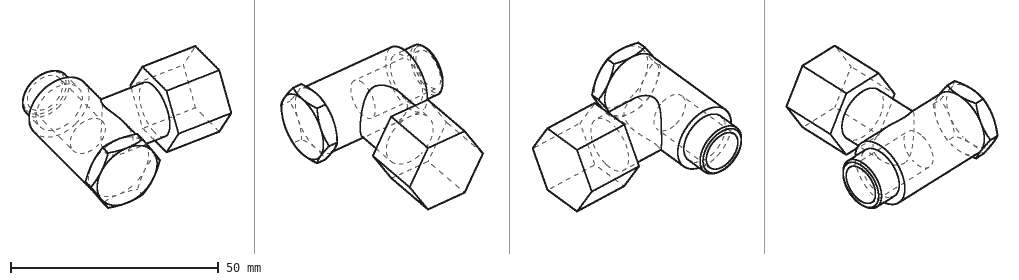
import cadquery as cq
import math

BODY_DIAMETER = 17.0
BODY_LENGTH = 27.0
SPIGOT_DIAMETER = 13.157
SPIGOT_LENGTH = 6.5
SPIGOT_CHAMFER = 0.5
BORE_DIAMETER = 10.0

HEAD_ACROSS_FLATS = BODY_DIAMETER
HEAD_THICKNESS = 4.0
HEAD_CHAMFER_ANGLE = 30.0

BRANCH_DIAMETER = 14.0
BRANCH_OFFSET = 13.0
NUT_ACROSS_FLATS = 19.0
NUT_START = 19.0
NUT_LENGTH = 15.0

SHOULDER_X = -BRANCH_OFFSET
SPIGOT_END_X = SHOULDER_X - SPIGOT_LENGTH
HEAD_X = SHOULDER_X + BODY_LENGTH
BORE_DEPTH = SPIGOT_LENGTH + BRANCH_OFFSET


def corner_diameter(across_flats):
    """Diameter of the circle through the corners of a hexagon."""
    return across_flats / math.cos(math.radians(30))


def cylinder_along_x(start, diameter, length):
    plane = cq.Workplane("YZ", origin=(start, 0, 0))
    return plane.circle(diameter / 2).extrude(length)


def spigot():
    blank = cylinder_along_x(SPIGOT_END_X, SPIGOT_DIAMETER, SPIGOT_LENGTH)
    return blank.faces("<X").chamfer(SPIGOT_CHAMFER)


def head():
    """Hexagon with flats on +Z and -Z, its corners bevelled by a cone on both faces."""
    corners = corner_diameter(HEAD_ACROSS_FLATS)
    plane = cq.Workplane("YZ", origin=(HEAD_X, 0, 0))
    hexagon = plane.polygon(6, corners).extrude(HEAD_THICKNESS)

    face_radius = HEAD_ACROSS_FLATS / 2
    corner_radius = corners / 2
    bevel_length = (corner_radius - face_radius) * math.tan(math.radians(HEAD_CHAMFER_ANGLE))
    head_end = HEAD_X + HEAD_THICKNESS
    bevel_envelope = (
        cq.Workplane("XY")
        .moveTo(HEAD_X, 0)
        .lineTo(HEAD_X, face_radius)
        .lineTo(HEAD_X + bevel_length, corner_radius)
        .lineTo(head_end - bevel_length, corner_radius)
        .lineTo(head_end, face_radius)
        .lineTo(head_end, 0)
        .close()
        .revolve(360, (0, 0, 0), (1, 0, 0))
    )
    return hexagon.intersect(bevel_envelope)


def branch():
    """Round stem running from the barrel axis to the nut."""
    plane = cq.Workplane("XZ")
    return plane.circle(BRANCH_DIAMETER / 2).extrude(-NUT_START)


def nut():
    """Plain hexagon with flats on +Z and -Z."""
    plane = cq.Workplane("XZ", origin=(0, NUT_START, 0))
    return plane.polygon(6, corner_diameter(NUT_ACROSS_FLATS)).extrude(-NUT_LENGTH)


body = cylinder_along_x(SHOULDER_X, BODY_DIAMETER, BODY_LENGTH)
bore = cylinder_along_x(SPIGOT_END_X, BORE_DIAMETER, BORE_DEPTH)

result = body.union(spigot()).union(head()).union(branch()).union(nut()).cut(bore)